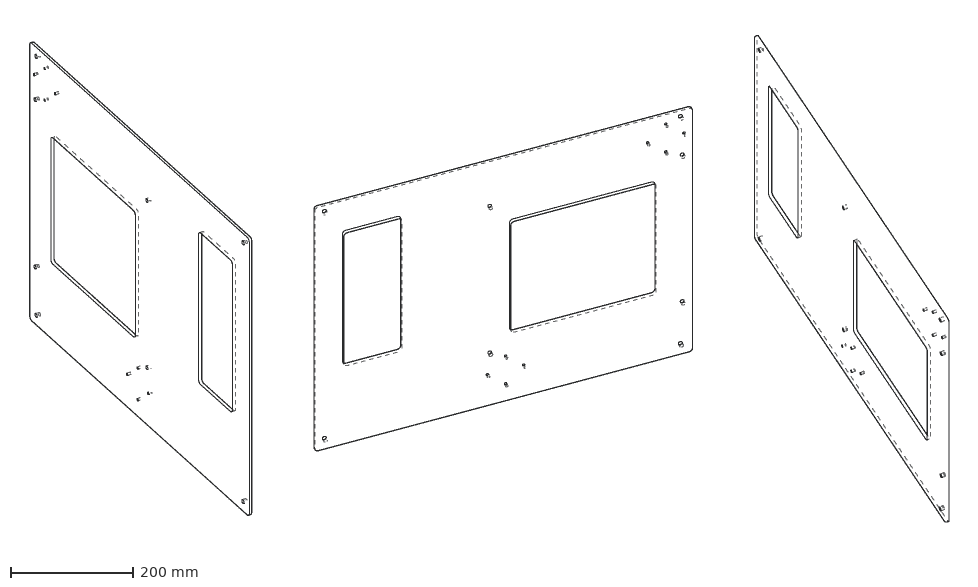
import cadquery as cq

INCH = 25.4

plate_width = 26 * INCH
plate_height = 22 * INCH
plate_thickness = 0.25 * INCH
plate_corner_radius = 0.25 * INCH
rear_edge_radius = plate_thickness / 2

window_corner_radius = 0.25 * INCH
square_window_side = 10 * INCH
square_window_center = (-5.5 * INCH, 0)
tall_window_width = 4 * INCH
tall_window_height = 12 * INCH
tall_window_center = (9 * INCH, 2 * INCH)

corner_hole_diameter = 0.27 * INCH
corner_hole_inset = 0.75 * INCH

window_hole_diameter = 0.25 * INCH
window_hole_spacing = 13.25 * INCH
window_hole_center = (-5.75 * INCH, 0.125 * INCH)

small_hole_diameter = 0.156 * INCH
bolt_circle_radius = 1.25 * INCH
bolt_circle_centers = [
    (-11.25 * INCH, 8.65 * INCH),
    (-0.22 * INCH, -8.44 * INCH),
]
holes_per_circle = 4


def plate_plane():
    """Workplane on the plate's mid-plane, with local axes X and Z."""
    return cq.Workplane("XZ")


def rounded_panel(width, height, radius, center=(0, 0)):
    """Slab of plate thickness with rounded corners, centred on the XZ plane."""
    slab = plate_plane().center(*center).rect(width, height).extrude(plate_thickness / 2, both=True)
    return slab.edges("|Y").fillet(radius)


def hole_pins(points_on_plane, diameter):
    """Cylinders of plate thickness, used to cut through holes."""
    return points_on_plane.circle(diameter / 2).extrude(plate_thickness / 2, both=True)


def hole_rectangle(width, height, diameter, center=(0, 0)):
    """Cutters for four holes at the corners of a rectangle."""
    points = plate_plane().center(*center).rarray(width, height, 2, 2)
    return hole_pins(points, diameter)


def bolt_circle(center):
    """Cutters for one circle of small holes, the first on the +X side."""
    points = plate_plane().center(*center).polarArray(bolt_circle_radius, 0, 360, holes_per_circle)
    return hole_pins(points, small_hole_diameter)


result = rounded_panel(plate_width, plate_height, plate_corner_radius)
result = result.faces(">Y").edges().fillet(rear_edge_radius)

result = result.cut(
    rounded_panel(square_window_side, square_window_side, window_corner_radius, square_window_center)
)
result = result.cut(
    rounded_panel(tall_window_width, tall_window_height, window_corner_radius, tall_window_center)
)

corner_hole_span_x = plate_width - 2 * corner_hole_inset
corner_hole_span_z = plate_height - 2 * corner_hole_inset
result = result.cut(hole_rectangle(corner_hole_span_x, corner_hole_span_z, corner_hole_diameter))
result = result.cut(
    hole_rectangle(window_hole_spacing, window_hole_spacing, window_hole_diameter, window_hole_center)
)

for circle_center in bolt_circle_centers:
    result = result.cut(bolt_circle(circle_center))